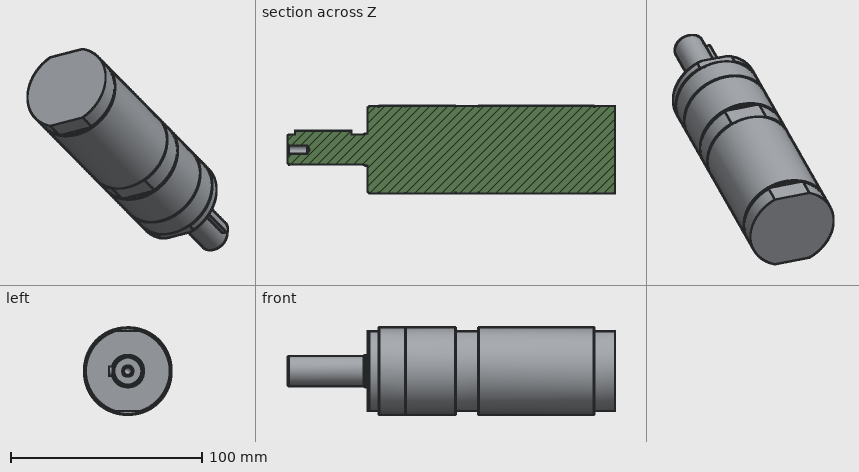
import cadquery as cq
import math

total_length = 171.5
body_diameter = 46.0
body_radius = body_diameter / 2
body_front = 41.8
body_front_chamfer = 1.0
flat_width = 41.8

front_tube_start = 47.7
tube_joint = 61.5
front_tube_end = 88.2
rear_tube_start = 99.8
rear_tube_end = 160.7
tube_chamfer = 0.5

shaft_diameter = 16.0
shaft_chamfer = 0.9
collar_diameter = 17.0
collar_cone_start = 39.8
collar_start = 40.8

key_start = 4.0
key_length = 29.7
key_width = 5.0
key_top = 10.0
key_bottom = 5.1

hole_diameter = 4.1
hole_depth = 10.3
countersink_diameter = 5.8
countersink_depth = 0.9
drill_point_angle = 118.0


def revolve_profile(points):
    """Turn an (x, radius) outline, closed along the axis, about the X axis."""
    return cq.Workplane("XY").polyline(points).close().revolve(360, (0, 0, 0), (1, 0, 0))


def cylinder(start, end):
    """Plain body section at the full diameter."""
    return cq.Workplane("YZ", origin=(start, 0, 0)).circle(body_radius).extrude(end - start)


def tube(start, end, chamfered_faces):
    """Body tube; its chamfered rims leave a fine groove at the joints."""
    return cylinder(start, end).faces(chamfered_faces).edges().chamfer(tube_chamfer)


def flatted_section(section):
    """Cut wrench flats on the top and bottom of a body section."""
    slab = cq.Workplane("XY").box(
        total_length, body_diameter, flat_width, centered=(False, True, True)
    )
    return section.intersect(slab)


def shaft():
    """Output shaft with a chamfered tip and a conical step up to the collar."""
    shaft_radius = shaft_diameter / 2
    collar_radius = collar_diameter / 2
    return revolve_profile([
        (0, 0),
        (0, shaft_radius - shaft_chamfer),
        (shaft_chamfer, shaft_radius),
        (collar_cone_start, shaft_radius),
        (collar_start, collar_radius),
        (body_front, collar_radius),
        (body_front, 0),
    ])


def shaft_key():
    """Round-ended parallel key."""
    return (
        cq.Workplane("XZ", origin=(key_start + key_length / 2, key_top, 0))
        .slot2D(key_length, key_width)
        .extrude(key_top - key_bottom)
    )


def centre_hole():
    """Countersunk blind hole with a drill-point bottom."""
    hole_radius = hole_diameter / 2
    point_length = hole_radius / math.tan(math.radians(drill_point_angle / 2))
    return revolve_profile([
        (0, 0),
        (0, countersink_diameter / 2),
        (countersink_depth, hole_radius),
        (hole_depth, hole_radius),
        (hole_depth + point_length, 0),
    ])


front_cap = cylinder(body_front, front_tube_start).faces("<X").edges().chamfer(body_front_chamfer)
middle_ring = cylinder(front_tube_end, rear_tube_start)
rear_cap = cylinder(rear_tube_end, total_length)

result = shaft().union(shaft_key())
for section in (front_cap, middle_ring, rear_cap):
    result = result.union(flatted_section(section))
for start, end, chamfered_faces in (
    (front_tube_start, tube_joint, "<X"),
    (tube_joint, front_tube_end, "|X"),
    (rear_tube_start, rear_tube_end, "|X"),
):
    result = result.union(tube(start, end, chamfered_faces))
result = result.cut(centre_hole())